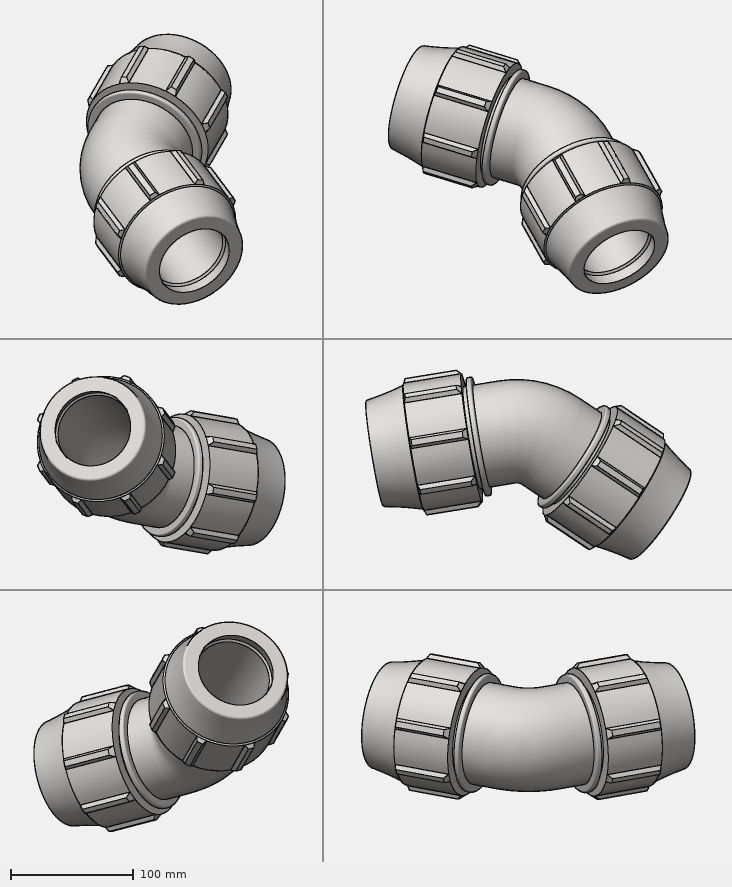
import cadquery as cq
import math

bend_angle = 45.0
bend_radius = 48.7
pipe_radius = 84.7 / 2
bore_radius = 63.0 / 2
leg_length = 109.7

collar_radius = 98.4 / 2
collar_width = 4.8
collar_rounding = 1.5
nut_gap = 3.5

nut_radius = 53.0
nut_length = 48.5
nose_length = 32.3
nut_bevel_length = 0.8
nose_base_radius = 51.5
nose_mid_radius = 47.5
nose_tip_radius = 44.5
nose_rounding = 2.3
face_radius = 42.4

rib_count = 8
rib_radius = 56.5
rib_embed = 2.5
rib_root_half_width = 4.5
rib_top_half_width = 2.5
rib_back_slope = 3.8
rib_front_slope = 2.3

mouth_radius = 33.3
mouth_depth = 10.8

nose_start = leg_length - nose_length
nut_start = nose_start - nut_length
collar_start = nut_start - nut_gap - collar_width


def cylinder(radius, start, length):
    return cq.Workplane("YZ", origin=(start, 0, 0)).circle(radius).extrude(length)


def collar():
    ring = cylinder(collar_radius, collar_start, collar_width)
    return ring.edges().fillet(collar_rounding)


def nut_body():
    nose_end = leg_length - nose_rounding
    nose_middle = (nose_start + nose_end) / 2
    tip_middle = (
        leg_length - nose_rounding * (1 - math.sqrt(0.5)),
        face_radius + (nose_tip_radius - face_radius) * math.sqrt(0.5),
    )
    profile = (
        cq.Workplane("XY")
        .moveTo(nut_start, 0)
        .lineTo(nut_start, nut_radius)
        .lineTo(nose_start - nut_bevel_length, nut_radius)
        .lineTo(nose_start, nose_base_radius)
        .threePointArc((nose_middle, nose_mid_radius), (nose_end, nose_tip_radius))
        .threePointArc(tip_middle, (leg_length, face_radius))
        .lineTo(leg_length, 0)
        .close()
    )
    return profile.revolve(360, (0, 0, 0), (1, 0, 0))


def rib():
    root = nut_radius - rib_embed
    section = (
        cq.Workplane("YZ", origin=(nut_start, 0, 0))
        .polyline([
            (-rib_root_half_width, root),
            (-rib_root_half_width, nut_radius),
            (-rib_top_half_width, rib_radius),
            (rib_top_half_width, rib_radius),
            (rib_root_half_width, nut_radius),
            (rib_root_half_width, root),
        ])
        .close()
        .extrude(nut_length)
    )
    side = (
        cq.Workplane("XZ")
        .polyline([
            (nut_start, root),
            (nut_start, nut_radius),
            (nut_start + rib_back_slope, rib_radius),
            (nose_start - rib_front_slope, rib_radius),
            (nose_start - nut_bevel_length, nut_radius),
            (nose_start - nut_bevel_length, root),
        ])
        .close()
        .extrude(rib_root_half_width, both=True)
    )
    return section.intersect(side)


def bore():
    mouth_bottom = leg_length - mouth_depth
    step = mouth_radius - bore_radius
    profile = (
        cq.Workplane("XY")
        .polyline([
            (0, 0),
            (0, bore_radius),
            (mouth_bottom - step, bore_radius),
            (mouth_bottom, mouth_radius),
            (leg_length, bore_radius),
            (leg_length, 0),
        ])
        .close()
    )
    return profile.revolve(360, (0, 0, 0), (1, 0, 0))


def leg():
    body = cylinder(pipe_radius, 0, nut_start)
    body = body.union(collar()).union(nut_body())
    one_rib = rib()
    pitch = 360 / rib_count
    for index in range(rib_count):
        angle = (index + 0.5) * pitch
        body = body.union(one_rib.rotate((0, 0, 0), (1, 0, 0), angle))
    return body.cut(bore())


def bend():
    ring = cq.Workplane("YZ").circle(pipe_radius).circle(bore_radius)
    return ring.revolve(bend_angle, (bend_radius, 2.5, 0), (bend_radius, 0, 0))


turn = math.radians(bend_angle)
bend_end = (-bend_radius * math.sin(turn), bend_radius * (1 - math.cos(turn)), 0)

straight_leg = leg()
turned_leg = straight_leg.rotate((0, 0, 0), (0, 0, 1), 180 - bend_angle).translate(bend_end)
result = straight_leg.union(bend()).union(turned_leg)